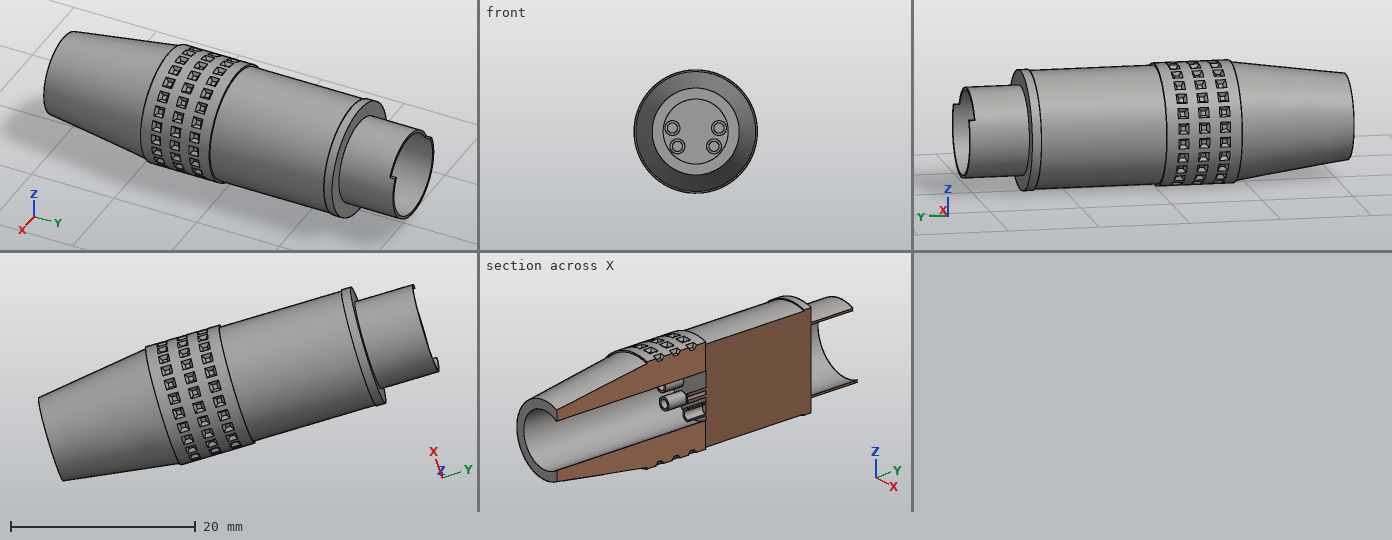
import cadquery as cq
import math

total_length = 42.4

taper_length = 12.7
taper_end_radius = 4.7
taper_base_radius = 6.5
grip_diameter = 13.35
grip_radius = grip_diameter / 2
grip_length = 8.3
boot_length = taper_length + grip_length
bore_radius = 3.5

dimple_rows = 3
dimples_per_row = 25
dimple_row_pitch = 2.3
dimple_mouth = 1.1
dimple_floor = 0.5
dimple_depth = 0.4

barrel_radius = 6.45
flange_radius = 6.55
flange_width = 1.0
nose_radius = 4.9
nose_wall = 0.3
nose_length = 6.53
flange_end = total_length - nose_length

notch_depth = 0.65
notch_floor_height = 2.25

cup_circle_radius = 2.55
cup_angles = (8.5, 171.5, 219.0, 321.0)
cup_outer_radius = 0.8
cup_inner_radius = 0.55
cup_length = 2.55


def cylinder_along_y(radius, start, end, x=0.0, z=0.0):
    """Solid cylinder parallel to Y, running from y = start to y = end."""
    axis_point = cq.Vector(x, start, z)
    return cq.Workplane(cq.Solid.makeCylinder(radius, end - start, axis_point, cq.Vector(0, 1, 0)))


def make_dimple_cutter(angle, y):
    """Truncated pyramid pointing inwards from the grip surface at the given angle from +X."""
    outward = cq.Vector(math.cos(math.radians(angle)), 0, math.sin(math.radians(angle)))
    mouth_distance = math.sqrt(grip_radius**2 - (dimple_mouth / 2) ** 2)
    overshoot = grip_radius - mouth_distance
    growth = (dimple_mouth - dimple_floor) / dimple_depth
    cutter_mouth = dimple_mouth + growth * overshoot
    start = outward * grip_radius + cq.Vector(0, y, 0)
    plane = cq.Plane(origin=start, xDir=(0, 1, 0), normal=-outward)
    return (
        cq.Workplane(plane)
        .rect(cutter_mouth, cutter_mouth)
        .workplane(offset=dimple_depth + overshoot)
        .rect(dimple_floor, dimple_floor)
        .loft(ruled=True)
        .val()
    )


def make_boot():
    """Bored taper and grip band, with rows of dimples around the band."""
    outline = [
        (bore_radius, 0),
        (taper_end_radius, 0),
        (taper_base_radius, taper_length),
        (grip_radius, taper_length),
        (grip_radius, boot_length),
        (bore_radius, boot_length),
    ]
    boot = cq.Workplane("XY").polyline(outline).close().revolve(360, (0, 0, 0), (0, 1, 0))

    grip_middle = taper_length + grip_length / 2
    cutters = []
    for row in range(dimple_rows):
        y = grip_middle + (row - (dimple_rows - 1) / 2) * dimple_row_pitch
        for step in range(dimples_per_row):
            cutters.append(make_dimple_cutter(step * 360 / dimples_per_row, y))
    return cq.Workplane(boot.val().cut(*cutters).Solids()[0])


def make_plug():
    """Barrel with flange, hollow notched nose and solder cups."""
    plug = cylinder_along_y(barrel_radius, boot_length, flange_end)
    plug = plug.union(cylinder_along_y(flange_radius, flange_end - flange_width, flange_end))
    plug = plug.union(cylinder_along_y(nose_radius, flange_end, total_length))

    plug = plug.cut(cylinder_along_y(nose_radius - nose_wall, flange_end, total_length))

    notch = cq.Workplane("XY").box(
        2 * nose_radius, notch_depth, nose_radius - notch_floor_height, centered=(True, False, False)
    )
    plug = plug.cut(notch.translate((0, total_length - notch_depth, notch_floor_height)))

    for angle in cup_angles:
        x = cup_circle_radius * math.cos(math.radians(angle))
        z = cup_circle_radius * math.sin(math.radians(angle))
        cup_start = boot_length - cup_length
        plug = plug.union(cylinder_along_y(cup_outer_radius, cup_start, boot_length, x, z))
        plug = plug.cut(cylinder_along_y(cup_inner_radius, cup_start, boot_length, x, z))
    return plug


boot = make_boot()
plug = make_plug()

result = cq.Compound.makeCompound([boot.val(), plug.val()])